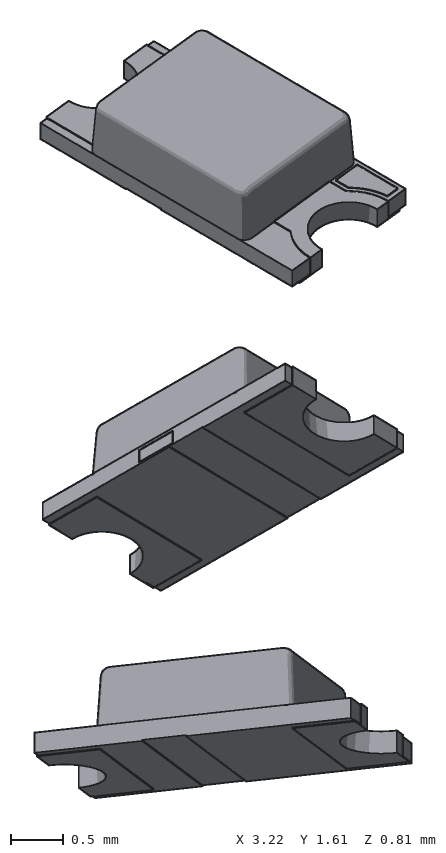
import cadquery as cq

overall_length = 3.22
overall_width = 1.61
overall_height = 0.81
plating = 0.01

board_length = overall_length - 2 * plating
board_width = overall_width - plating
board_thickness = 0.2
board_top = plating + board_thickness

lens_length = 2.0
lens_width = board_width
lens_height = overall_height - board_top
lens_draft = 3
lens_round = 0.1

terminal_width = 1.417
bottom_pad_inner = 0.972
notch_radius = 0.39
notch_center = board_length / 2
trace_half_width = 0.393
trace_ring_radius = 0.55

mark_gap = 0.05
mark_lens_gap = 0.032

side_mark_left = -0.122
side_mark_length = 0.44
side_mark_bottom = 0.025
side_mark_height = 0.142

groove_left = -0.512
groove_width = 0.44


def block(x_min, x_max, y_min, y_max, z_min, z_max):
    """Box between the given limits."""
    size = (x_max - x_min, y_max - y_min, z_max - z_min)
    return cq.Workplane("XY").box(*size, centered=False).translate((x_min, y_min, z_min))


def notch_disc(radius, z_min, z_max, side):
    """Cylinder concentric with the end notch on the given side (-1 left, +1 right)."""
    return (
        cq.Workplane("XY", origin=(side * notch_center, 0, z_min))
        .circle(radius)
        .extrude(z_max - z_min)
    )


def make_terminal_base(side, plate_half_width):
    """Bottom pad of one terminal and the plate that covers the end of the board."""
    pad_half_width = terminal_width / 2
    outer = side * overall_length / 2
    inner = side * bottom_pad_inner
    board_end = side * board_length / 2
    pad = block(min(inner, outer), max(inner, outer), -pad_half_width, pad_half_width, 0, plating)
    plate = block(
        min(board_end, outer), max(board_end, outer),
        -plate_half_width, plate_half_width,
        0, board_top + plating,
    )
    return pad.union(plate)


def make_left_top_pad():
    """Full-width pad from the left end to the lens."""
    return block(
        -overall_length / 2, -lens_length / 2,
        -terminal_width / 2, terminal_width / 2,
        board_top, board_top + plating,
    )


def make_right_top_pad():
    """Straight trace from the lens that widens into a disc around the right notch."""
    pad_top = board_top + plating
    trace = block(
        lens_length / 2, overall_length / 2,
        -trace_half_width, trace_half_width,
        board_top, pad_top,
    )
    overhang = block(
        overall_length / 2, overall_length,
        -overall_width, overall_width,
        board_top, pad_top,
    )
    return trace.union(notch_disc(trace_ring_radius, board_top, pad_top, 1).cut(overhang))


def make_polarity_mark():
    """Raised corner patch that follows the outline of the right top pad."""
    patch = block(
        lens_length / 2 + mark_lens_gap, board_length / 2 - mark_gap,
        trace_half_width + mark_gap, board_width / 2 - mark_gap,
        board_top, board_top + plating,
    )
    return patch.cut(notch_disc(trace_ring_radius + mark_gap, board_top, board_top + plating, 1))


def make_side_mark():
    """Raised patch on the rear side of the board."""
    return block(
        side_mark_left, side_mark_left + side_mark_length,
        board_width / 2, board_width / 2 + plating,
        side_mark_bottom, side_mark_bottom + side_mark_height,
    )


def make_notch(side):
    """Half-round notch through one end, cut straight through the end plate."""
    half_disc = notch_disc(notch_radius, 0, overall_height, side)
    board_end = side * board_length / 2
    outer = side * overall_length / 2
    plate_gap = block(
        min(board_end, outer), max(board_end, outer),
        -notch_radius, notch_radius,
        0, overall_height,
    )
    return half_disc.union(plate_gap)


def make_groove():
    """Shallow groove across the whole underside of the board."""
    return block(
        groove_left, groove_left + groove_width,
        -board_width / 2, board_width / 2,
        plating, 2 * plating,
    )


def make_carrier():
    """Board with its terminals, marks, end notches and underside groove."""
    carrier = block(
        -board_length / 2, board_length / 2,
        -board_width / 2, board_width / 2,
        plating, board_top,
    )
    carrier = carrier.union(make_terminal_base(-1, terminal_width / 2))
    carrier = carrier.union(make_terminal_base(1, trace_ring_radius))
    carrier = carrier.union(make_left_top_pad())
    carrier = carrier.union(make_right_top_pad())
    carrier = carrier.union(make_polarity_mark())
    carrier = carrier.union(make_side_mark())
    for side in (-1, 1):
        carrier = carrier.cut(make_notch(side))
    return carrier.cut(make_groove())


def make_lens():
    """Drafted block with rounded corners and a rounded top rim."""
    return (
        cq.Workplane("XY", origin=(0, 0, board_top))
        .rect(lens_length, lens_width)
        .extrude(lens_height, taper=lens_draft)
        .edges("not #Z")
        .fillet(lens_round)
        .faces(">Z")
        .edges()
        .fillet(lens_round)
    )


carrier = make_carrier()
lens = make_lens()

result = cq.Compound.makeCompound([carrier.val(), lens.val()])